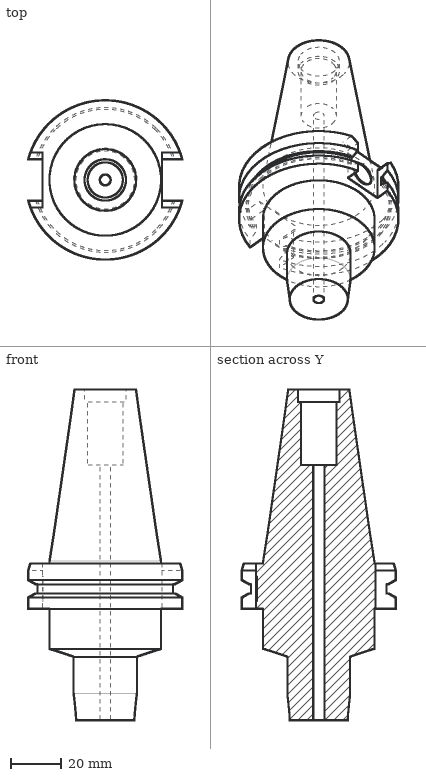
import cadquery as cq
import math


GAUGE_DIA = 44.45
TAPER_LENGTH = 68.25
TAPER_RATIO = 7 / 24
SMALL_END_DIA = GAUGE_DIA - TAPER_RATIO * TAPER_LENGTH

FLANGE_DIA = 63.5
FLANGE_TOP_Z = -1.0
FLANGE_BOTTOM_Z = -19.05
GROOVE_DIA = 56.36
GROOVE_Z = -11.1
GROOVE_FLOOR_WIDTH = 3.6
GROOVE_FLANK_HEIGHT = 1.65
GROOVE_FLANK_ANGLE = 30

NOSE_END_Z = -63.5
BODY_DIA = 44.5
BODY_END_Z = -35.0
NOSE_DIA = 25.3
NOSE_TOP_Z = -38.15
NOSE_TAPER_Z = -52.8
NOSE_END_DIA = 23.2

SLOT_WIDTH = 16.38
LEFT_SLOT_FLOOR_X = -25.0
RIGHT_SLOT_FLOOR_X = 22.6
SLOT_CHAMFER = 2.75

RECESS_DIA = 9.7
RECESS_DEPTH = 0.3

COUNTERBORE_DIA = 16.5
COUNTERBORE_DEPTH = 5.0
STUD_BORE_DIA = 14.0
STUD_BORE_DEPTH = 30.0
COOLANT_HOLE_DIA = 4.2


def turned_body():
    """Revolve the outer profile about Z; narrow flat ledges join the groove floor to its flanks."""
    floor_top_z = GROOVE_Z + GROOVE_FLOOR_WIDTH / 2
    floor_bottom_z = GROOVE_Z - GROOVE_FLOOR_WIDTH / 2
    flank_run = GROOVE_FLANK_HEIGHT / math.tan(math.radians(GROOVE_FLANK_ANGLE))
    flank_base_radius = FLANGE_DIA / 2 - flank_run
    profile = [
        (0, TAPER_LENGTH),
        (SMALL_END_DIA / 2, TAPER_LENGTH),
        (GAUGE_DIA / 2, 0),
        (GAUGE_DIA / 2, FLANGE_TOP_Z),
        (FLANGE_DIA / 2, FLANGE_TOP_Z),
        (FLANGE_DIA / 2, floor_top_z + GROOVE_FLANK_HEIGHT),
        (flank_base_radius, floor_top_z),
        (GROOVE_DIA / 2, floor_top_z),
        (GROOVE_DIA / 2, floor_bottom_z),
        (flank_base_radius, floor_bottom_z),
        (FLANGE_DIA / 2, floor_bottom_z - GROOVE_FLANK_HEIGHT),
        (FLANGE_DIA / 2, FLANGE_BOTTOM_Z),
        (BODY_DIA / 2, FLANGE_BOTTOM_Z),
        (BODY_DIA / 2, BODY_END_Z),
        (NOSE_DIA / 2, NOSE_TOP_Z),
        (NOSE_DIA / 2, NOSE_TAPER_Z),
        (NOSE_END_DIA / 2, NOSE_END_Z),
        (0, NOSE_END_Z),
    ]
    return cq.Workplane("YZ").polyline(profile).close().revolve(360, (0, 0), (0, 1))


def drive_slot(floor_x):
    """Slot with chamfered mouth, running outward from floor_x beyond the flange rim."""
    half_width = SLOT_WIDTH / 2
    mouth_half_width = half_width + SLOT_CHAMFER
    chamfer_z = FLANGE_TOP_Z - SLOT_CHAMFER
    outline = [
        (-half_width, FLANGE_BOTTOM_Z),
        (half_width, FLANGE_BOTTOM_Z),
        (half_width, chamfer_z),
        (mouth_half_width, FLANGE_TOP_Z),
        (-mouth_half_width, FLANGE_TOP_Z),
        (-half_width, chamfer_z),
    ]
    run = math.copysign(FLANGE_DIA / 2, floor_x)
    return cq.Workplane("YZ", origin=(floor_x, 0, 0)).polyline(outline).close().extrude(run)


def slot_recess():
    """Shallow round recess in the left slot floor, centred on the gripper groove."""
    plane = cq.Workplane("YZ", origin=(LEFT_SLOT_FLOOR_X, 0, GROOVE_Z))
    return plane.circle(RECESS_DIA / 2).extrude(RECESS_DEPTH)


def bore_from_top(diameter, depth):
    """Cylinder of the given depth below the small end of the taper."""
    return cq.Workplane("XY", origin=(0, 0, TAPER_LENGTH)).circle(diameter / 2).extrude(-depth)


result = turned_body()
for slot_floor_x in (LEFT_SLOT_FLOOR_X, RIGHT_SLOT_FLOOR_X):
    result = result.cut(drive_slot(slot_floor_x))
result = result.cut(slot_recess())

result = result.cut(bore_from_top(COUNTERBORE_DIA, COUNTERBORE_DEPTH))
result = result.cut(bore_from_top(STUD_BORE_DIA, STUD_BORE_DEPTH))
result = result.cut(bore_from_top(COOLANT_HOLE_DIA, TAPER_LENGTH - NOSE_END_Z))